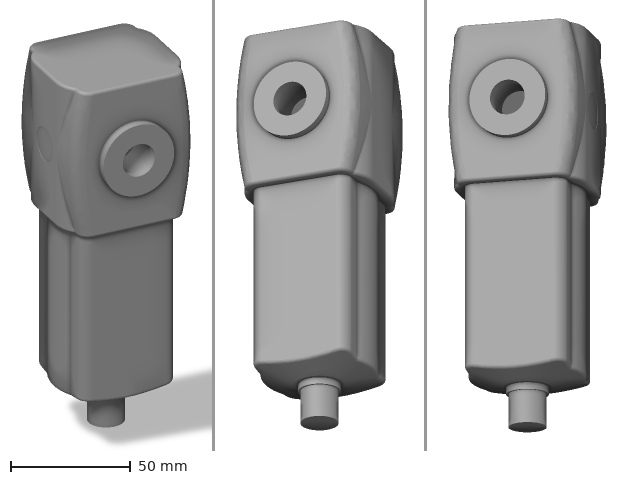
import cadquery as cq
import math

HEAD_WIDTH = 53.6
HEAD_DEPTH = 57.0
HEAD_BOTTOM = 101.1
HEAD_TOP = 169.1
HEAD_HEIGHT = HEAD_TOP - HEAD_BOTTOM
HEAD_MIDDLE = (HEAD_TOP + HEAD_BOTTOM) / 2
HEAD_EDGE_RADIUS = 1.4

STRIP_HALF_WIDTH = 9.8
ROLL_RADIUS = 15.2
ROLL_ANGLE = math.radians(50)

PAD_INNER_X = 10.1
PAD_CLEARANCE = 0.02
PAD_CROWN_Y = HEAD_DEPTH / 2 - PAD_CLEARANCE
PAD_SIDE_Y = 27.7
PAD_BARREL_RADIUS = 148.8
PAD_CORNER_RADIUS = 5.2

PORT_SPAN = 62.0
PORT_FLANGE_DIAMETER = 33.0
PORT_BORE_DIAMETER = 15.0
PORT_BORE_DEPTH = 18.6

FRONT_RECESS_DIAMETER = 15.5
FRONT_RECESS_DEPTH = 0.2

BOWL_WIDTH = 44.3
BOWL_CORNER_RADIUS = 5.0
BOWL_BULGE_RADIUS = 24.7
BOWL_BULGE_HALF_WIDTH = 11.0
BOWL_END_Z = 17.0
BOWL_END_RADIUS = 10.7
BOWL_CONE_ANGLE = math.radians(15)
BOWL_EDGE_RADIUS = 1.4

COLLAR_DIAMETER = 18.0
COLLAR_BOTTOM = 14.2
STEM_DIAMETER = 16.0

OVERLAP = 1.7


def rolled_core():
    """Vertical prism whose front and back faces roll off beside the flat strip."""
    face_y = HEAD_DEPTH / 2
    half_roll = ROLL_ANGLE / 2

    def roll_point(angle):
        return (
            STRIP_HALF_WIDTH + ROLL_RADIUS * math.sin(angle),
            face_y - ROLL_RADIUS * (1 - math.cos(angle)),
        )

    mid_x, mid_y = roll_point(half_roll)
    end_x, end_y = roll_point(ROLL_ANGLE)
    return (
        cq.Workplane("XY", origin=(0, 0, HEAD_BOTTOM))
        .moveTo(-STRIP_HALF_WIDTH, face_y)
        .lineTo(STRIP_HALF_WIDTH, face_y)
        .threePointArc((mid_x, mid_y), (end_x, end_y))
        .lineTo(end_x, -end_y)
        .threePointArc((mid_x, -mid_y), (STRIP_HALF_WIDTH, -face_y))
        .lineTo(-STRIP_HALF_WIDTH, -face_y)
        .threePointArc((-mid_x, -mid_y), (-end_x, -end_y))
        .lineTo(-end_x, end_y)
        .threePointArc((-mid_x, mid_y), (-STRIP_HALF_WIDTH, face_y))
        .close()
        .extrude(HEAD_HEIGHT)
    )


def side_pad():
    """+X side of the head, with barrel-shaped pads at its two corners."""
    half_width = HEAD_WIDTH / 2
    crown_drop = PAD_CROWN_Y - PAD_SIDE_Y
    crown_length = half_width - PAD_INNER_X
    crown_radius = (crown_length**2 + crown_drop**2) / (2 * crown_drop)
    middle_length = crown_length / 2
    middle_drop = crown_radius - math.sqrt(crown_radius**2 - middle_length**2)
    axis_y = PAD_CROWN_Y - PAD_BARREL_RADIUS
    sweep = 2 * math.degrees(math.asin(HEAD_HEIGHT / PAD_BARREL_RADIUS))
    barrel = (
        cq.Workplane("XY", origin=(0, 0, HEAD_MIDDLE))
        .moveTo(PAD_INNER_X, -OVERLAP)
        .lineTo(half_width, -OVERLAP)
        .lineTo(half_width, PAD_SIDE_Y)
        .threePointArc(
            (PAD_INNER_X + middle_length, PAD_CROWN_Y - middle_drop),
            (PAD_INNER_X, PAD_CROWN_Y),
        )
        .close()
        .revolve(sweep, (0, axis_y, 0), (1, axis_y, 0))
        .rotate((0, axis_y, HEAD_MIDDLE), (1, axis_y, HEAD_MIDDLE), -sweep / 2)
    )
    half_block = cq.Workplane("XY", origin=(0, 0, HEAD_BOTTOM)).box(
        HEAD_WIDTH, HEAD_DEPTH, HEAD_HEIGHT, centered=(True, False, False)
    )
    corner = barrel.intersect(half_block)
    corner = corner.faces(">X").edges(">Y").fillet(PAD_CORNER_RADIUS)
    return corner.union(corner.mirror("XZ"))


def head():
    """Complete head with its top and bottom edges rounded."""
    pad = side_pad()
    body = rolled_core().union(pad).union(pad.mirror("YZ"))
    return body.faces("<Z or >Z").edges().fillet(HEAD_EDGE_RADIUS)


def x_cylinder(diameter, start_x, length):
    """Cylinder along X on the port axis; a negative length runs toward -X."""
    return (
        cq.Workplane("YZ", origin=(start_x, 0, HEAD_MIDDLE))
        .circle(diameter / 2)
        .extrude(length)
    )


def bowl():
    """Rounded square tube with bulged front and back and a conical lower end."""
    height = HEAD_BOTTOM + OVERLAP
    square = (
        cq.Workplane("XY")
        .rect(BOWL_WIDTH, BOWL_WIDTH)
        .extrude(height)
        .edges("|Z")
        .fillet(BOWL_CORNER_RADIUS)
    )
    bulge_band = cq.Workplane("XY").rect(2 * BOWL_BULGE_HALF_WIDTH, 2 * BOWL_WIDTH).extrude(height)
    bulge = cq.Workplane("XY").circle(BOWL_BULGE_RADIUS).extrude(height).intersect(bulge_band)
    cone_rise = (BOWL_WIDTH - BOWL_END_RADIUS) * math.tan(BOWL_CONE_ANGLE)
    envelope = (
        cq.Workplane("XZ")
        .polyline([
            (0, BOWL_END_Z),
            (BOWL_END_RADIUS, BOWL_END_Z),
            (BOWL_WIDTH, BOWL_END_Z + cone_rise),
            (BOWL_WIDTH, height),
            (0, height),
        ])
        .close()
        .revolve(360, (0, 0, 0), (0, 1, 0))
    )
    body = square.union(bulge).intersect(envelope)
    return body.faces("%CONE").edges("not (<Z or %LINE)").fillet(BOWL_EDGE_RADIUS)


def drain():
    """Stem with a short collar against the bowl."""
    stem = cq.Workplane("XY").circle(STEM_DIAMETER / 2).extrude(BOWL_END_Z + OVERLAP)
    collar = (
        cq.Workplane("XY", origin=(0, 0, COLLAR_BOTTOM))
        .circle(COLLAR_DIAMETER / 2)
        .extrude(BOWL_END_Z + OVERLAP - COLLAR_BOTTOM)
    )
    return stem.union(collar)


def front_recess():
    """Disc cut from the middle of the front face."""
    return (
        cq.Workplane("XZ", origin=(0, -HEAD_DEPTH / 2, HEAD_MIDDLE))
        .circle(FRONT_RECESS_DIAMETER / 2)
        .extrude(-FRONT_RECESS_DEPTH)
    )


result = head().union(bowl()).union(drain())
result = result.union(x_cylinder(PORT_FLANGE_DIAMETER, -PORT_SPAN / 2, PORT_SPAN))
for side in (-1, 1):
    bore = x_cylinder(PORT_BORE_DIAMETER, side * PORT_SPAN / 2, -side * PORT_BORE_DEPTH)
    result = result.cut(bore)
result = result.cut(front_recess())